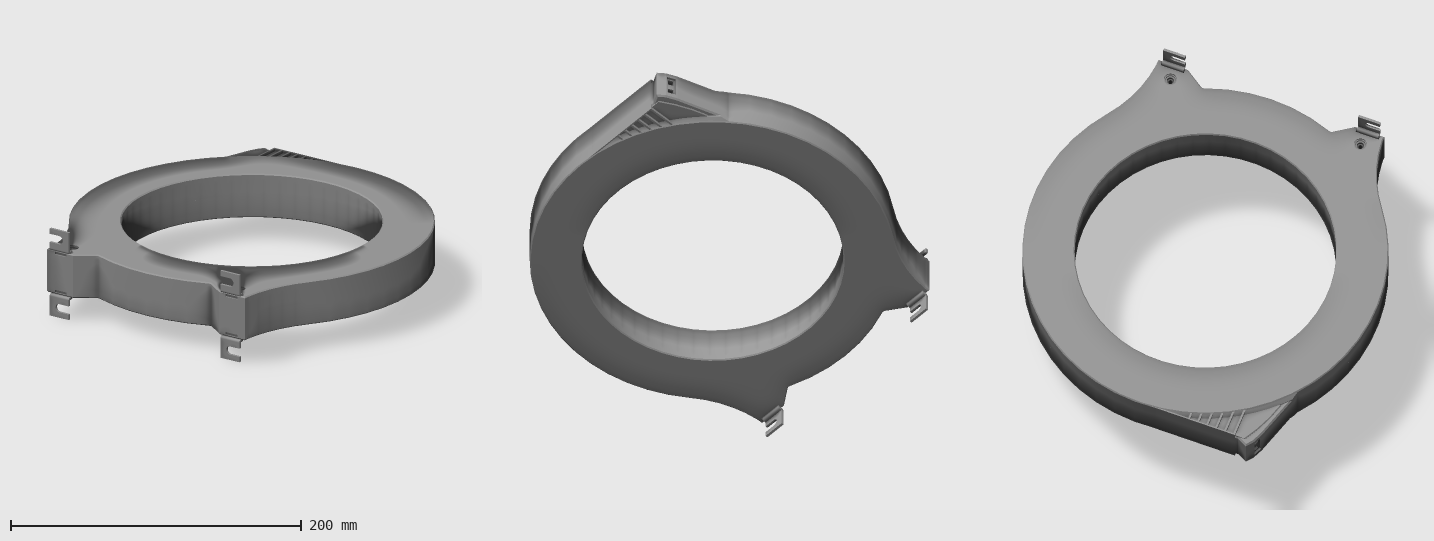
import cadquery as cq
import math

ring_radius = 126.0
bore_radius = 90.0
half_height = 16.0
edge_chamfer = 0.8

ear_front_y = -126.5
ear_outer_x = 83.3
ear_inner_x = 61.5
ear_tangent_y = -75.2
ear_flank_end_y = -122.6
valley_x = 47.3
valley_fillet = 3.0

screw_x = 70.0
screw_y = -115.0
screw_well_steps = [(9.0, 1.0), (7.4, 2.0), (5.0, 4.0), (3.0, 10.0)]

bracket_x = 71.8
bracket_width = 16.0
bracket_gauge = 1.8
bracket_bend_radius = 1.6
bracket_half_height = 32.0
bracket_leg_back_y = -123.5
foot_slot_width = 6.0
foot_slot_z = 25.0
slot_clearance = 0.5
window_width = 10.0
window_bottom_z = 13.0
window_top_z = 15.0

apex = (-79.3, 129.17)
lip = (-83.2, 124.2)
shoulder = (-86.5, 116.8)
box_root = (-98.3, 78.6)
box_back_y = 125.5
box_back_x = -72.2
shoulder_fillet = 15.0
rim_height = 12.6
rim_chamfer = 1.1
panel_height = 13.3
panel_chamfer = 0.65
panel_tip = (-77.0, 124.6)
panel_bulge = (-84.5, 110.4)
panel_root = (-91.0, 91.5)
skirt_radius = 128.3
rib_height = 15.5
rib_width = 1.4
back_wall_thickness = 0.9
rib_count = 6
rib_first_x = -69.1
rib_pitch = 6.65

connector_height = 16.0
connector_length = 6.4
connector_depth = 1.5
socket_height = 4.5
socket_length = 4.0
socket_depth = 5.0
socket_z = 4.5


def make_ring_half():
    """Ring with its two ears."""
    tangent_x = math.sqrt(ring_radius**2 - ear_tangent_y**2)
    valley_y = -math.sqrt(ring_radius**2 - valley_x**2)
    ring = (
        cq.Workplane("XY")
        .moveTo(0, ring_radius)
        .threePointArc((ring_radius, 0), (tangent_x, ear_tangent_y))
        .tangentArcPoint((ear_outer_x, ear_flank_end_y), relative=False)
        .lineTo(ear_outer_x, ear_front_y)
        .lineTo(ear_inner_x, ear_front_y)
        .lineTo(valley_x, valley_y)
        .threePointArc(
            (valley_x / 2, -math.sqrt(ring_radius**2 - (valley_x / 2) ** 2)), (0, -ring_radius)
        )
        .mirrorY()
        .extrude(half_height)
    )
    for side in (-1, 1):
        valley = cq.selectors.NearestToPointSelector((side * valley_x, valley_y, half_height / 2))
        ring = ring.edges(valley).fillet(valley_fillet)
    bore = cq.Workplane("XY").circle(bore_radius).extrude(half_height)
    return ring.cut(bore).faces(">Z").edges().chamfer(edge_chamfer)


def box_prism(height):
    """Terminal box outline; its inner corner lies inside the ring wall."""
    inner_radius = (ring_radius + bore_radius) / 2
    inner_corner = (-inner_radius * math.cos(math.pi / 4), inner_radius * math.sin(math.pi / 4))
    box = (
        cq.Workplane("XY")
        .polyline([apex, lip, shoulder, box_root, inner_corner, (0, inner_radius),
                   (0, box_back_y), (box_back_x, box_back_y)])
        .close()
        .extrude(height)
    )
    corner = cq.selectors.NearestToPointSelector((*shoulder, height / 2))
    return box.edges(corner).fillet(shoulder_fillet)


def make_panel():
    """Slightly raised top of the box, its left edge a shallow arc."""
    panel = (
        cq.Workplane("XY")
        .moveTo(*panel_tip)
        .threePointArc(panel_bulge, panel_root)
        .lineTo(0, panel_root[1])
        .lineTo(0, panel_tip[1])
        .close()
        .extrude(panel_height)
    )
    bulge_edge = cq.selectors.NearestToPointSelector((*panel_bulge, panel_height))
    return panel.edges(bulge_edge).chamfer(panel_chamfer).intersect(box_prism(half_height))


def make_skirt():
    """Sloping wall that runs from the ring down to the panel."""
    skirt_top_z = half_height - edge_chamfer
    skirt = (
        cq.Workplane("XZ")
        .polyline([(bore_radius + edge_chamfer, 0), (skirt_radius, 0), (skirt_radius, panel_height),
                   (ring_radius, skirt_top_z), (bore_radius + edge_chamfer, skirt_top_z)])
        .close()
        .revolve()
    )
    return skirt.intersect(box_prism(half_height))


def make_ribs():
    """Parallel ribs from the ring to the thin wall along the back of the box."""
    wall_length = -rib_first_x + rib_width / 2
    wall = cq.Workplane("XY").box(
        wall_length, back_wall_thickness, rib_height, centered=(False, False, False)
    )
    ribs = wall.translate((-wall_length, box_back_y - back_wall_thickness, 0))
    for index in range(rib_count):
        rib_x = rib_first_x + index * rib_pitch
        rib_start_y = math.sqrt((ring_radius - 2 * edge_chamfer) ** 2 - rib_x**2)
        rib = cq.Workplane("XY").box(
            rib_width, box_back_y - rib_start_y, rib_height, centered=(True, False, False)
        )
        ribs = ribs.union(rib.translate((rib_x, rib_start_y, 0)))
    return ribs


def connector_cutter():
    """Shallow pocket with two sockets, square to the face between lip and shoulder."""
    along = cq.Vector(shoulder[0] - lip[0], shoulder[1] - lip[1], 0).normalized()
    inward = cq.Vector(-along.y, along.x, 0)
    centre = ((lip[0] + shoulder[0]) / 2, (lip[1] + shoulder[1]) / 2, 0)
    face = cq.Plane(origin=centre, xDir=along.toTuple(), normal=inward.toTuple())
    pocket = cq.Workplane(face).rect(connector_length, connector_height).extrude(connector_depth)
    sockets = (
        cq.Workplane(face)
        .pushPoints([(0, -socket_z), (0, socket_z)])
        .rect(socket_length, socket_height)
        .extrude(socket_depth)
    )
    return pocket.union(sockets)


def bracket_passages():
    """Through slots for the bracket legs and the windows in front of them."""
    slot_depth = bracket_gauge + slot_clearance
    slot = cq.Workplane("XY").box(
        bracket_width + 2 * slot_clearance, slot_depth, half_height, centered=(True, False, False)
    ).translate((0, bracket_leg_back_y - bracket_gauge, 0))
    window = cq.Workplane("XY").box(
        window_width, bracket_leg_back_y - ear_front_y, window_top_z - window_bottom_z,
        centered=(True, False, False),
    ).translate((0, ear_front_y, window_bottom_z))
    passage = slot.union(window)
    return passage.translate((-bracket_x, 0, 0)).union(passage.translate((bracket_x, 0, 0)))


def make_housing_half():
    """Upper half of the housing, without the screw wells."""
    box = box_prism(rim_height).faces(">Z").edges().chamfer(rim_chamfer)
    half = make_ring_half().union(box).union(make_panel())
    half = half.union(make_skirt()).union(make_ribs())
    bore = cq.Workplane("XY").circle(bore_radius).extrude(half_height)
    return half.cut(bore).cut(connector_cutter()).cut(bracket_passages())


def drill_screw_wells(half):
    """Stepped blind wells that narrow downwards."""
    for diameter, depth in screw_well_steps:
        well = (
            cq.Workplane("XY", origin=(0, 0, half_height))
            .pushPoints([(-screw_x, screw_y), (screw_x, screw_y)])
            .circle(diameter / 2)
            .extrude(-depth)
        )
        half = half.cut(well)
    return half


def make_bracket_half():
    """Upper half of a bracket: leg through the ear, tab over its top, slotted foot."""
    leg_front_y = bracket_leg_back_y - bracket_gauge
    foot_front_y = ear_front_y - bracket_gauge
    tab_top_z = half_height + bracket_gauge
    strip = (
        cq.Workplane("YZ")
        .polyline([
            (bracket_leg_back_y, 0), (bracket_leg_back_y, tab_top_z), (ear_front_y, tab_top_z),
            (ear_front_y, bracket_half_height), (foot_front_y, bracket_half_height),
            (foot_front_y, half_height), (leg_front_y, half_height), (leg_front_y, 0),
        ])
        .close()
        .extrude(bracket_width / 2, both=True)
    )
    bend_points = [(0, bracket_leg_back_y, tab_top_z), (0, foot_front_y, half_height)]
    for point in bend_points:
        strip = strip.edges(cq.selectors.NearestToPointSelector(point)).fillet(bracket_bend_radius)
    slot = (
        cq.Workplane("XZ", origin=(0, ear_front_y, foot_slot_z))
        .circle(foot_slot_width / 2)
        .extrude(bracket_gauge)
        .union(
            cq.Workplane("XZ", origin=(-bracket_width / 4, ear_front_y, foot_slot_z))
            .rect(bracket_width / 2, foot_slot_width)
            .extrude(bracket_gauge)
        )
    )
    return strip.cut(slot)


def make_bracket():
    """The lower half is the upper half turned about Y, so the foot slots open opposite ways."""
    upper = make_bracket_half()
    return upper.union(upper.rotate((0, 0, 0), (0, 1, 0), 180))


housing_half = make_housing_half()
lower_housing = housing_half.mirror("XY")
upper_housing = drill_screw_wells(housing_half)
brackets = [make_bracket().translate((side * bracket_x, 0, 0)) for side in (-1, 1)]

result = cq.Compound.makeCompound([
    upper_housing.val(),
    lower_housing.val(),
    *[bracket.val() for bracket in brackets],
])